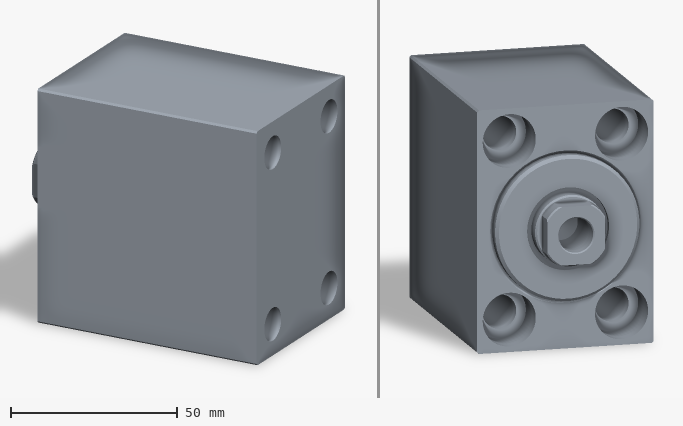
import cadquery as cq
import math


total_length = 87.0
housing_length = 75.0
housing_width = 55.0
housing_height = 75.0
housing_edge_chamfer = 0.6

hole_spacing_y = 35.0
hole_spacing_z = 55.0
hole_diameter = 10.5
counterbore_diameter = 16.5
counterbore_depth = 11.0

gland_diameter = 45.0
gland_projection = 3.0
gland_seat_depth = 10.4
gland_chamfer = 1.0
bore_mouth_chamfer = 1.0
wiper_recess_diameter = 25.5
wiper_recess_depth = 1.5

rod_diameter = 22.0
rod_projection = total_length - housing_length
rod_shoulder_chamfer = 0.5
tip_length = 6.0
tip_diameter = rod_diameter - 2 * rod_shoulder_chamfer
tip_chamfer = 0.4
tip_across_flats = 18.0
rod_hole_diameter = 10.7
rod_hole_depth = 17.4
rod_hole_chamfer = 0.35
drill_point_angle = 118.0
drill_cone_depth = rod_hole_diameter / 2 / math.tan(math.radians(drill_point_angle / 2))


def revolve_about_x(profile):
    """Solid of revolution about X from (x, radius) points."""
    return cq.Workplane("XY").polyline(profile).close().revolve(360, (0, 0, 0), (1, 0, 0))


def cylinder_along_x(diameter, x_start, x_end):
    """Cylinder on the X axis between two X positions."""
    plane = cq.Workplane("YZ", origin=(x_start, 0, 0))
    return plane.circle(diameter / 2).extrude(x_end - x_start)


def make_mounting_hole_cutter():
    """Through hole with its counterbore in the front face."""
    through_hole = cylinder_along_x(hole_diameter, 0, housing_length)
    counterbore = cylinder_along_x(counterbore_diameter, 0, counterbore_depth)
    return through_hole.union(counterbore)


def make_bore_cutter():
    """Blind bore for the gland, with a chamfered mouth."""
    bore_radius = gland_diameter / 2
    return revolve_about_x([
        (0, 0),
        (0, bore_radius + bore_mouth_chamfer),
        (bore_mouth_chamfer, bore_radius),
        (gland_seat_depth, bore_radius),
        (gland_seat_depth, 0),
    ])


def make_housing():
    """Block with four counterbored mounting holes and the gland bore."""
    block = cq.Workplane("XY").box(
        housing_length, housing_width, housing_height, centered=(False, True, True)
    )
    block = block.edges("|X").chamfer(housing_edge_chamfer)
    hole_cutter = make_mounting_hole_cutter()
    for y in (-hole_spacing_y / 2, hole_spacing_y / 2):
        for z in (-hole_spacing_z / 2, hole_spacing_z / 2):
            block = block.cut(hole_cutter.translate((0, y, z)))
    return block.cut(make_bore_cutter())


def make_gland():
    """Flanged ring around the rod, with a wiper recess in its front face."""
    front_x = -gland_projection
    ring = cylinder_along_x(gland_diameter, front_x, gland_seat_depth)
    ring = ring.faces("<X").chamfer(gland_chamfer)
    wiper_recess = cylinder_along_x(wiper_recess_diameter, front_x, front_x + wiper_recess_depth)
    rod_passage = cylinder_along_x(rod_diameter, front_x, gland_seat_depth)
    return ring.cut(wiper_recess).cut(rod_passage)


def make_rod_hole_cutter():
    """Drilled blind hole in the rod end, with a chamfered mouth and a conical bottom."""
    end_x = -rod_projection
    hole_radius = rod_hole_diameter / 2
    return revolve_about_x([
        (end_x, 0),
        (end_x, hole_radius + rod_hole_chamfer),
        (end_x + rod_hole_chamfer, hole_radius),
        (end_x + rod_hole_depth, hole_radius),
        (end_x + rod_hole_depth + drill_cone_depth, 0),
    ])


def make_rod():
    """Piston rod with a four-flat wrench tip and an end hole."""
    end_x = -rod_projection
    shoulder_x = end_x + tip_length
    shank = cylinder_along_x(rod_diameter, shoulder_x, gland_seat_depth)
    shank = shank.faces("<X").chamfer(rod_shoulder_chamfer)
    tip = cylinder_along_x(tip_diameter, end_x, shoulder_x).faces("<X").chamfer(tip_chamfer)
    flats = cq.Workplane("XY").box(
        tip_length, tip_across_flats, tip_across_flats, centered=(False, True, True)
    )
    tip = tip.intersect(flats.translate((end_x, 0, 0)))
    return shank.union(tip).cut(make_rod_hole_cutter())


housing = make_housing()
gland = make_gland()
rod = make_rod()

result = cq.Compound.makeCompound([housing.val(), gland.val(), rod.val()])